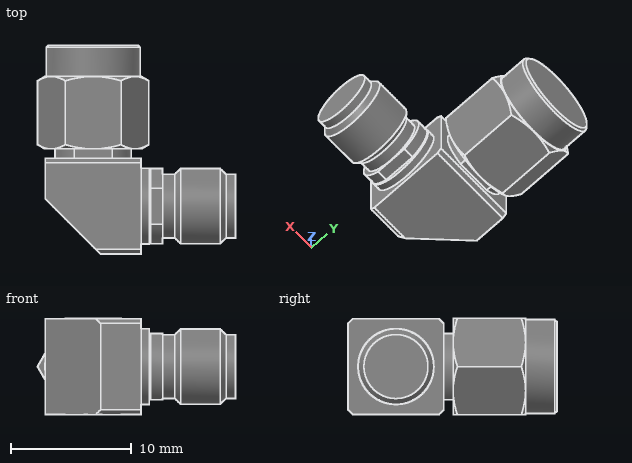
import cadquery as cq
import math


block_size = 7.94
block_half = block_size / 2
block_chamfer = 0.4
corner_cut_leg = 4.58

across_wrench_flats = 5.5

neck_diameter = 6.35
neck_insertion = 3.0

nut_across_flats = 8.0
nut_back_y = 4.73
nut_hex_length = 6.0
nut_chamfer_angle = 30.0
sleeve_diameter = 7.8
sleeve_length = 2.6
sleeve_chamfer = 0.2

collar_radius = 3.15
jack_large_radius = 3.125
jack_small_radius = 2.65
groove_radius = 2.15
collar_end_x = 4.65
wrench_start_x = 4.75
wrench_end_x = 5.75
jack_cone_length = 0.5
barrel_start_x = 7.25
barrel_end_x = 10.5
jack_end_x = 11.79


def y_cylinder(radius, start_y, length):
    """Cylinder on the Y axis running toward +Y."""
    return cq.Workplane("XZ", origin=(0, start_y, 0)).circle(radius).extrude(-length)


def make_housing():
    """Block with a cut outer corner, plus the flatted neck that enters the nut."""
    block = cq.Workplane("XY").box(block_size, block_size, block_size)
    block = block.edges("|X").chamfer(block_chamfer)
    corner_cut = (
        cq.Workplane("XY", origin=(0, 0, -block_half))
        .moveTo(-block_half, -block_half)
        .lineTo(-block_half + corner_cut_leg, -block_half)
        .lineTo(-block_half, -block_half + corner_cut_leg)
        .close()
        .extrude(block_size)
    )
    neck_length = nut_back_y + neck_insertion - block_half
    neck = y_cylinder(neck_diameter / 2, block_half, neck_length)
    flats = cq.Workplane("XY", origin=(0, block_half + neck_length / 2, 0)).box(
        neck_diameter, neck_length, across_wrench_flats
    )
    return block.cut(corner_cut).union(neck.intersect(flats))


def make_nut():
    """Hexagonal nut with both ends chamfered, a round sleeve in front and a blind bore in the back."""
    flat_radius = nut_across_flats / 2
    corner_radius = flat_radius / math.cos(math.pi / 6)
    chamfer_length = (corner_radius - flat_radius) * math.tan(math.radians(nut_chamfer_angle))
    hex_front_y = nut_back_y + nut_hex_length

    hexagon = (
        cq.Workplane("XZ", origin=(0, nut_back_y, 0))
        .polygon(6, 2 * corner_radius)
        .extrude(-nut_hex_length)
    )
    chamfer_envelope = (
        cq.Workplane("XY")
        .moveTo(0, nut_back_y)
        .lineTo(flat_radius, nut_back_y)
        .lineTo(corner_radius, nut_back_y + chamfer_length)
        .lineTo(corner_radius, hex_front_y - chamfer_length)
        .lineTo(flat_radius, hex_front_y)
        .lineTo(0, hex_front_y)
        .close()
        .revolve(360, (0, 0, 0), (0, 1, 0))
    )
    sleeve = y_cylinder(sleeve_diameter / 2, hex_front_y, sleeve_length)
    sleeve = sleeve.faces(">Y").edges().chamfer(sleeve_chamfer)
    bore = y_cylinder(neck_diameter / 2, nut_back_y, neck_insertion)
    return hexagon.intersect(chamfer_envelope).union(sleeve).cut(bore)


def make_jack():
    """Turned jack: collar, groove, wrench ring with two flats, and a stepped barrel."""
    turned = (
        cq.Workplane("XY")
        .moveTo(block_half, 0)
        .lineTo(block_half, collar_radius)
        .lineTo(collar_end_x, collar_radius)
        .lineTo(collar_end_x, groove_radius)
        .lineTo(wrench_start_x, groove_radius)
        .lineTo(wrench_start_x, jack_large_radius)
        .lineTo(wrench_end_x, jack_large_radius)
        .lineTo(wrench_end_x, jack_small_radius)
        .lineTo(barrel_start_x - jack_cone_length, jack_small_radius)
        .lineTo(barrel_start_x, jack_large_radius)
        .lineTo(barrel_end_x, jack_large_radius)
        .lineTo(barrel_end_x + jack_cone_length, jack_small_radius)
        .lineTo(jack_end_x, jack_small_radius)
        .lineTo(jack_end_x, 0)
        .close()
        .revolve(360, (0, 0, 0), (1, 0, 0))
    )
    wrench_width = wrench_end_x - wrench_start_x
    flat_depth = jack_large_radius - across_wrench_flats / 2
    for side in (-1, 1):
        flat_cut = cq.Workplane("XY").box(wrench_width, 2 * jack_large_radius, flat_depth)
        cut_x = wrench_start_x + wrench_width / 2
        cut_z = side * (across_wrench_flats + flat_depth) / 2
        turned = turned.cut(flat_cut.translate((cut_x, 0, cut_z)))
    return turned


housing = make_housing()
nut = make_nut()
jack = make_jack()

result = cq.Compound.makeCompound([housing.val(), nut.val(), jack.val()])